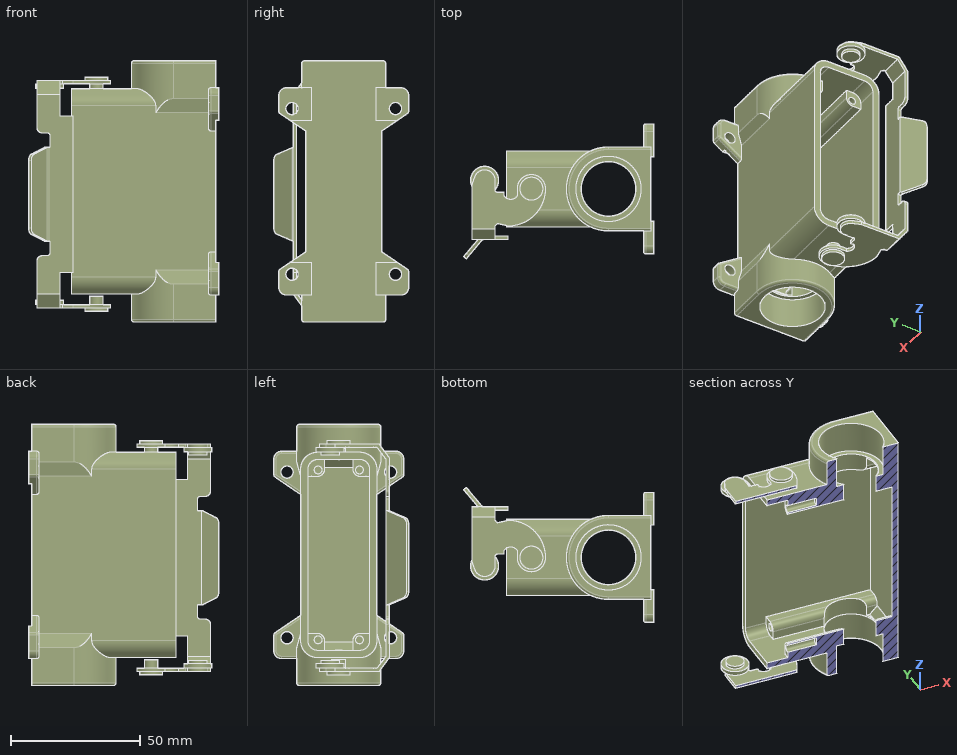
import cadquery as cq
import math


body_half_width = 14.7
body_half_height = 39.7
body_corner_radius = 6.6
mouth_x = -39.5
back_x = 16.4
wall = 2.8
cavity_half_width = body_half_width - wall
cavity_half_height = body_half_height - wall
cavity_corner_radius = body_corner_radius - wall
floor_x = back_x - wall
floor_chamfer = 3.1

boss_y = 8.0
boss_z = 32.8
boss_reach = 2.5
boss_corner_radius = 2.9
boss_front_x = -30.7
boss_hole_radius = 1.5
boss_hole_depth = 12.1

port_radius = 16.3
port_end_z = 50.5
port_edge_fillet = 1
port_taper_top_z = 35.9
port_taper_bottom_z = 30.4
port_bore_radius = 10.5
port_counterbore_radius = 12.6
port_counterbore_floor_z = 37.6

foot_front_x = 13.5
foot_back_x = 17.6
foot_outer_y = 25.1
foot_inner_y = 12.4
foot_top_z = 40.1
foot_straight_z = 30.4
foot_bottom_z = 23.3
foot_slope_end_y = body_half_width
foot_step_z = 27.5
foot_corner_radius = 3
foot_slope_radius = 1.2
foot_edge_fillet = 0.9
foot_hole_y = 20.0
foot_hole_z = 32.0
foot_hole_radius = 2.3

lever_mid_z = -1.1
sheet = 1.4
arm_top_z = 44.0
arm_left_x = -52.8
arm_right_x = -43.8
bend_top_y = -15.6
bend_bottom_z = 38.6
strip_outer_y = -19.6
strip_inner_y = strip_outer_y + sheet
strip_left_x = -47.8
strip_right_x = -38.8
strip_half_height = 30.3
notch_z = 23.6
notch_outer_radius = 2.2
notch_inner_radius = 0.9

pivot_x = -29.8
pivot_y = 0.1
pivot_eye_radius = 5.5
pivot_head_radius = 4.4
pivot_head_height = 1.2
pivot_pin_radius = 2.6
pivot_pin_end_z = 39.4
arm_sweep_radius = 14.4

stud_x = -47.9
stud_y = 3.3
stud_radius = 5.5
stud_thickness = 1.7
stud_tip_radius = 3.5
stud_tip_length = 1.2

arm_tip_radius = arm_right_x - stud_x
arm_tip_start_angle = 158
arm_flank_top_y = 1.5
arm_shelf_y = -1.2
arm_shelf_end_x = -40.3
arm_shelf_fillet = 0.8
arm_recess_y = -2.6
arm_recess_bottom_y = -4
arm_relief_y = -13.4
arm_relief_x = -42.9

tab_angle = 50
tab_tip_x = -54.9
tab_tip_y = -27.1
tab_length = (strip_outer_y - tab_tip_y) / math.sin(math.radians(tab_angle))
tab_bend_x = tab_tip_x + tab_length * math.cos(math.radians(tab_angle))
tab_root_half_height = 18.2
tab_tip_half_height = 14.9
tab_corner_radius = 2.5
tab_bend_radius = 1


def centered_box(x_min, x_max, half_y, half_z):
    """Box centred on Y and Z."""
    return box_between((x_min, -half_y, -half_z), (x_max, half_y, half_z))


def box_between(low, high):
    """Box between two opposite corners."""
    size = [end - start for start, end in zip(low, high)]
    return cq.Workplane("XY").box(*size, centered=False).translate(low)


def disc(x, y, z_min, z_max, radius):
    """Upright cylinder."""
    return cq.Workplane("XY", origin=(x, y, z_min)).circle(radius).extrude(z_max - z_min)


def mirrored(shape, plane):
    """The shape joined with its mirror image."""
    return shape.union(shape.mirror(plane))


def make_port():
    """Upper cable port: D-shaped tower whose sides taper into the body."""
    tower = (
        cq.Workplane("XY", origin=(0, 0, port_taper_bottom_z))
        .moveTo(back_x, -port_radius)
        .lineTo(0, -port_radius)
        .threePointArc((-port_radius, 0), (0, port_radius))
        .lineTo(back_x, port_radius)
        .close()
        .extrude(port_end_z - port_taper_bottom_z)
    )
    tower = tower.faces(">Z").edges("not >X").fillet(port_edge_fillet)
    envelope = (
        cq.Workplane("YZ", origin=(-port_radius, 0, 0))
        .polyline([
            (-body_half_width, port_taper_bottom_z),
            (body_half_width, port_taper_bottom_z),
            (port_radius, port_taper_top_z),
            (port_radius, port_end_z),
            (-port_radius, port_end_z),
            (-port_radius, port_taper_top_z),
        ])
        .close()
        .extrude(back_x + port_radius)
    )
    return tower.intersect(envelope)


def make_cavity():
    """Space inside the hood, with the four screw bosses left standing."""
    cavity = centered_box(mouth_x, floor_x, cavity_half_width, cavity_half_height)
    cavity = cavity.edges("|X").fillet(cavity_corner_radius)
    chamfer_start_z = cavity_half_height - floor_chamfer
    corner = (
        cq.Workplane("XZ", origin=(0, cavity_half_width, 0))
        .polyline([
            (floor_x, chamfer_start_z),
            (floor_x, cavity_half_height),
            (floor_x - floor_chamfer, cavity_half_height),
        ])
        .close()
        .extrude(2 * cavity_half_width)
    )
    cavity = cavity.cut(corner).cut(corner.mirror("XY"))
    boss = box_between(
        (boss_front_x, boss_y - boss_reach, boss_z - boss_reach),
        (floor_x, body_half_width, body_half_height),
    )
    boss = boss.edges("|X and <Y and <Z").fillet(boss_corner_radius)
    hole = cq.Workplane("YZ", origin=(boss_front_x, boss_y, boss_z)).circle(boss_hole_radius)
    boss = boss.cut(hole.extrude(boss_hole_depth))
    return cavity.cut(mirrored(mirrored(boss, "XZ"), "XY"))


def make_foot():
    """Mounting foot in the +Y, +Z corner."""
    foot = (
        cq.Workplane("YZ", origin=(foot_front_x, 0, 0))
        .polyline([
            (foot_inner_y, foot_top_z),
            (foot_outer_y, foot_top_z),
            (foot_outer_y, foot_straight_z),
            (foot_slope_end_y, foot_bottom_z),
            (foot_inner_y, foot_bottom_z),
        ])
        .close()
        .extrude(foot_back_x - foot_front_x)
    )
    foot = foot.edges("|X and >Y and >Z").fillet(foot_corner_radius)
    foot = foot.edges("|X and >Y").edges("<Z").fillet(foot_slope_radius)
    foot = foot.faces("<X").edges("not <Y").fillet(foot_edge_fillet)
    step = box_between((back_x, 0, 0), (foot_back_x, foot_outer_y, foot_step_z))
    hole = cq.Workplane("YZ", origin=(foot_front_x, foot_hole_y, foot_hole_z)).circle(foot_hole_radius)
    return foot.cut(step).cut(hole.extrude(foot_back_x - foot_front_x))


def make_hood():
    """Body with ports and feet, hollowed out and bored through both ports."""
    body = centered_box(mouth_x, back_x, body_half_width, body_half_height)
    body = body.edges("|X").fillet(body_corner_radius)
    hood = body.union(mirrored(make_port(), "XY"))
    feet = mirrored(mirrored(make_foot(), "XZ"), "XY")
    hood = hood.union(feet).cut(make_cavity())
    hood = hood.cut(disc(0, 0, -port_end_z, port_end_z, port_bore_radius))
    counterbore = disc(0, 0, port_counterbore_floor_z, port_end_z, port_counterbore_radius)
    return hood.cut(counterbore).cut(counterbore.mirror("XY"))


def make_arm():
    """Upper lever arm with its pivot and its locking stud."""
    tip_start = math.radians(arm_tip_start_angle)
    tip_start_x = stud_x + arm_tip_radius * math.cos(tip_start)
    tip_start_y = stud_y + arm_tip_radius * math.sin(tip_start)
    recess_end_x = pivot_x - pivot_eye_radius
    recess_mid_x = (arm_shelf_end_x + recess_end_x) / 2
    sweep_end_x = pivot_x + pivot_eye_radius
    sweep_center_x = sweep_end_x - arm_sweep_radius
    sweep_offset = arm_sweep_radius * math.sqrt(0.5)
    sweep_bottom_y = pivot_y - arm_sweep_radius
    arm_bottom_z = arm_top_z - sheet
    plate = (
        cq.Workplane("XY", origin=(0, 0, arm_bottom_z))
        .moveTo(arm_left_x, bend_top_y)
        .lineTo(arm_left_x, arm_flank_top_y)
        .lineTo(tip_start_x, tip_start_y)
        .threePointArc((stud_x, stud_y + arm_tip_radius), (arm_right_x, stud_y))
        .lineTo(arm_right_x, arm_shelf_y)
        .lineTo(arm_shelf_end_x, arm_shelf_y)
        .lineTo(arm_shelf_end_x, arm_recess_y)
        .threePointArc((recess_mid_x, arm_recess_bottom_y), (recess_end_x, arm_recess_y))
        .lineTo(recess_end_x, pivot_y)
        .threePointArc((pivot_x, pivot_y + pivot_eye_radius), (sweep_end_x, pivot_y))
        .threePointArc(
            (sweep_center_x + sweep_offset, pivot_y - sweep_offset),
            (sweep_center_x, sweep_bottom_y),
        )
        .lineTo(arm_relief_x, arm_relief_y)
        .lineTo(arm_right_x, sweep_bottom_y)
        .lineTo(arm_right_x, bend_top_y)
        .close()
        .extrude(sheet)
    )
    shelf_corner = cq.selectors.NearestToPointSelector((arm_right_x, arm_shelf_y, arm_top_z - sheet / 2))
    plate = plate.edges("|Z").edges(shelf_corner).fillet(arm_shelf_fillet)
    pin = disc(pivot_x, pivot_y, pivot_pin_end_z, arm_top_z, pivot_pin_radius)
    head = disc(pivot_x, pivot_y, arm_bottom_z, arm_top_z + pivot_head_height, pivot_head_radius)
    stud_bottom_z = arm_bottom_z - stud_thickness
    stud = disc(stud_x, stud_y, stud_bottom_z, arm_bottom_z, stud_radius)
    stud_tip = disc(stud_x, stud_y, stud_bottom_z - stud_tip_length, arm_bottom_z, stud_tip_radius)
    return plate.union(pin).union(head).union(stud).union(stud_tip)


def make_bend():
    """Sheet between the arm and the strip: a sloped bend, then a flat band beside the notch."""
    bend_angle = math.atan2(arm_top_z - bend_bottom_z, bend_top_y - strip_outer_y)
    inner_top_y = bend_top_y + sheet * math.tan(bend_angle / 2)
    inner_bottom_z = bend_bottom_z - sheet * math.tan((math.pi / 2 - bend_angle) / 2)
    band = (
        cq.Workplane("YZ", origin=(arm_left_x, 0, 0))
        .polyline([
            (inner_top_y, arm_top_z),
            (bend_top_y, arm_top_z),
            (strip_outer_y, bend_bottom_z),
            (strip_outer_y, notch_z),
            (strip_inner_y, notch_z),
            (strip_inner_y, inner_bottom_z),
            (inner_top_y, arm_top_z - sheet),
        ])
        .close()
        .extrude(arm_right_x - arm_left_x)
    )
    return band.edges("|Y and <X and <Z").fillet(notch_outer_radius)


def make_tab():
    """Finger tab: a tapered sheet with round corners, and the short bend that joins it to the strip."""
    slope = math.radians(tab_angle)
    tab_plane = cq.Plane(
        origin=(tab_tip_x, tab_tip_y, 0),
        xDir=(math.cos(slope), math.sin(slope), 0),
        normal=(-math.sin(slope), math.cos(slope), 0),
    )
    tab = (
        cq.Workplane(tab_plane)
        .polyline([
            (0, -tab_tip_half_height),
            (0, tab_tip_half_height),
            (tab_length, tab_root_half_height),
            (tab_length, -tab_root_half_height),
        ])
        .close()
        .extrude(sheet)
    )
    normal_edges = cq.selectors.ParallelDirSelector(tab_plane.zDir)
    tab = tab.edges(normal_edges).edges("<X").fillet(tab_corner_radius)
    bend = (
        cq.Workplane("XY", origin=(0, 0, -tab_root_half_height))
        .polyline([
            (tab_bend_x, strip_outer_y),
            (strip_left_x, strip_outer_y),
            (strip_left_x, strip_inner_y),
            (tab_bend_x - sheet * math.tan(slope / 2), strip_inner_y),
            (tab_bend_x - sheet * math.sin(slope), strip_outer_y + sheet * math.cos(slope)),
        ])
        .close()
        .extrude(2 * tab_root_half_height)
    )
    return tab.union(bend)


def make_lever():
    """One bent sheet: long strip, an arm at each end and the finger tab in the middle."""
    strip = box_between(
        (strip_left_x, strip_outer_y, -strip_half_height),
        (strip_right_x, strip_inner_y, strip_half_height),
    )
    frame = strip.union(mirrored(make_bend(), "XY"))
    for side in (1, -1):
        notch_corner = cq.selectors.NearestToPointSelector(
            (strip_left_x, (strip_outer_y + strip_inner_y) / 2, side * notch_z)
        )
        frame = frame.edges("|Y").edges(notch_corner).fillet(notch_inner_radius)
    lever = frame.union(mirrored(make_arm(), "XY")).union(make_tab())
    tab_bend = cq.selectors.NearestToPointSelector((tab_bend_x, strip_outer_y, 0))
    lever = lever.edges("|Z").edges(tab_bend).fillet(tab_bend_radius)
    return lever.translate((0, 0, lever_mid_z))


result = make_hood().union(make_lever())